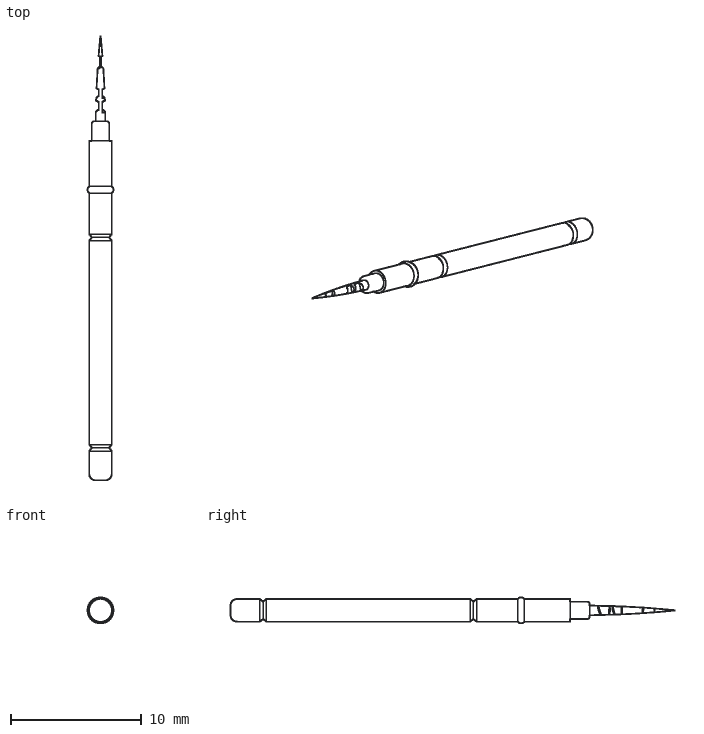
import cadquery as cq
import math

TOTAL_LENGTH = 34.0

BODY_RADIUS = 0.875
BODY_END_Y = 26.0
END_ROUND = 0.5
RING_RADIUS = 1.0
RING_START_Y = 22.0
RING_WIDTH = 0.5
GROOVE_WIDTH = 0.5
GROOVE_DEPTH = 0.2
GROOVE_CENTRES_Y = (2.5, 18.6)

NECK_RADIUS = 0.675
NECK_END_Y = 27.5
NECK_ROUND = 0.2

TIP_ROOT_RADIUS = 0.38
TIP_MIDDLE_RADIUS = 0.205
TIP_MIDDLE_Y = 31.85
TIP_END_RADIUS = 0.02

NOTCHES = (
    (0.15, (28.15, 29.00), (28.40, 28.95)),
    (0.15, (29.25, 29.93), (29.45, 29.93)),
    (0.06, (31.70, 32.45), (31.52, 32.45)),
)
NOTCH_WALL_SLOPE = 25.0
CUTTER_DEPTH = 0.5

ARC_INSET = 1 - math.sqrt(0.5)

PROFILE_AXIS = ((0, 0), (1, 0))


def axial_plane(origin_x=0):
    """Return a sketch plane through the part, with coordinates (Y, Z)."""
    return cq.Workplane("YZ", origin=(origin_x, 0, 0))


def make_shaft():
    """Revolve the handle, neck and tip about the Y axis."""
    end_inset = END_ROUND * ARC_INSET
    neck_inset = NECK_ROUND * ARC_INSET
    profile = (
        axial_plane()
        .lineTo(0, BODY_RADIUS - END_ROUND)
        .threePointArc((end_inset, BODY_RADIUS - end_inset), (END_ROUND, BODY_RADIUS))
        .lineTo(RING_START_Y, BODY_RADIUS)
        .threePointArc(
            (RING_START_Y + RING_WIDTH / 2, RING_RADIUS),
            (RING_START_Y + RING_WIDTH, BODY_RADIUS),
        )
        .lineTo(BODY_END_Y, BODY_RADIUS)
        .lineTo(BODY_END_Y, NECK_RADIUS)
        .lineTo(NECK_END_Y - NECK_ROUND, NECK_RADIUS)
        .threePointArc(
            (NECK_END_Y - neck_inset, NECK_RADIUS - neck_inset),
            (NECK_END_Y, NECK_RADIUS - NECK_ROUND),
        )
        .lineTo(NECK_END_Y, TIP_ROOT_RADIUS)
        .threePointArc((TIP_MIDDLE_Y, TIP_MIDDLE_RADIUS), (TOTAL_LENGTH, TIP_END_RADIUS))
        .lineTo(TOTAL_LENGTH, 0)
        .close()
    )
    return profile.revolve(360, *PROFILE_AXIS)


def make_groove(centre_y):
    """Return a V-shaped ring that cuts a groove around the handle."""
    half_width = GROOVE_WIDTH / 2
    return (
        axial_plane()
        .moveTo(centre_y - half_width, BODY_RADIUS)
        .lineTo(centre_y, BODY_RADIUS - GROOVE_DEPTH)
        .lineTo(centre_y + half_width, BODY_RADIUS)
        .lineTo(centre_y + half_width, RING_RADIUS)
        .lineTo(centre_y - half_width, RING_RADIUS)
        .close()
        .revolve(360, *PROFILE_AXIS)
    )


def make_notch_pair(web_half, lower_range, upper_range):
    """Return two slant-ended cutters, half a turn apart about the Y axis."""
    edge_z = TIP_ROOT_RADIUS
    cutter = (
        axial_plane(-web_half)
        .moveTo(lower_range[0], -edge_z)
        .lineTo(lower_range[1], -edge_z)
        .lineTo(upper_range[1], edge_z)
        .lineTo(upper_range[0], edge_z)
        .close()
        .extrude(-CUTTER_DEPTH, taper=-NOTCH_WALL_SLOPE)
    )
    return cutter.union(cutter.rotate((0, 0, 0), (0, 1, 0), 180))


result = make_shaft()
for groove_y in GROOVE_CENTRES_Y:
    result = result.cut(make_groove(groove_y))
for web_half, lower_range, upper_range in NOTCHES:
    result = result.cut(make_notch_pair(web_half, lower_range, upper_range))